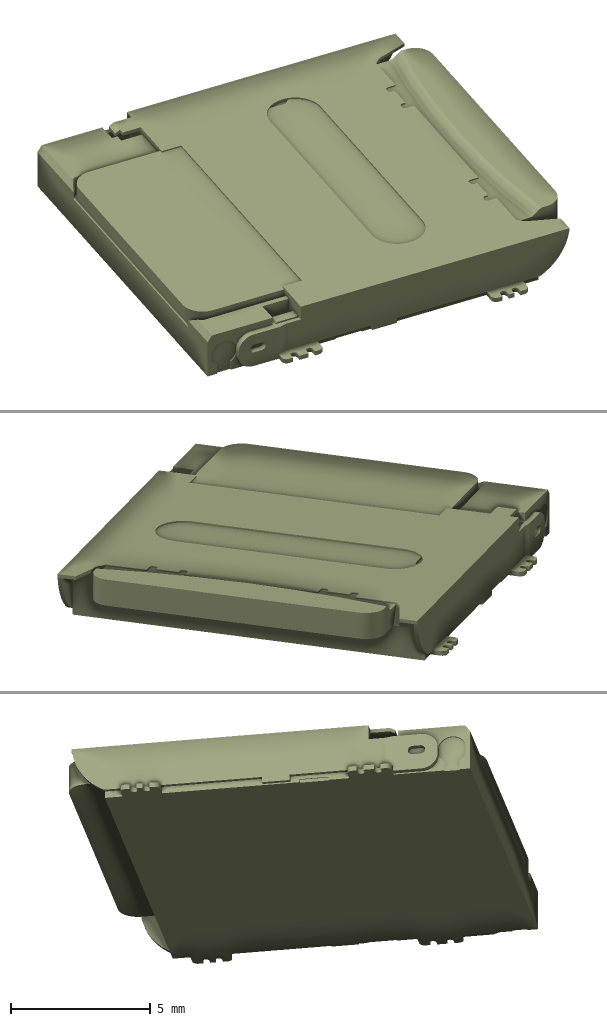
import cadquery as cq
import math


card_length = 15.0
card_right = 5.55
card_left = -5.54
nose_left = -4.23
nose_corner_radius = 0.81
grip_corner_radius = 0.72
card_bottom = 1.2
card_top = 1.92
grip_top = 2.2
nose_chamfer_height = 0.22
nose_chamfer_depth = 0.15
card_front = -card_length / 2
card_back = card_length / 2

notch_back = 1.75
notch_front = 0.75
notch_edge = -4.83
notch_chamfer = 0.2
bump_back = 0.38
shoulder_back = -1.05

grip_radius = 32.1
grip_edge_y = 6.1
grip_round_run = 0.12
grip_round_drop = 0.06
grip_slope_y = 5.78
grip_slope_z = 1.96
grip_foot_y = 5.65

housing_half_width = 6.72
housing_front = card_front
housing_back = 5.85
housing_top = 1.74
front_chamfer_height = 0.24
front_chamfer_depth = 0.18
recess_corner = 0.36
recess_bevel = 0.16

shell_top = 1.98
shell_thickness = 0.14
shell_half_width = 6.87
shell_wall = shell_half_width - housing_half_width
shell_underside = shell_top - shell_thickness
shell_wall_bottom = 0.25
shell_front = -3.81
shell_back = 5.56
finger_back = 7.04
finger_root = 5.76
window_left = -4.11
window_right = 5.43
window_back = -3.03
slot_length = 10.08
slot_width = 2.04
slot_y = 1.53

corner_floor = 1.42
pocket_floor = 0.25
pocket_front = -4.88
pocket_ledge_back = -4.75
arm_half_width = 6.95
arm_back = -4.72
arm_front = -6.36
arm_bottom = 0.05
arm_corner_radius = 0.6
arm_slot_y = -5.58
arm_slot_z = 0.81
arm_slot_length = 0.63
arm_slot_height = 0.33
joggle_back = -4.4
keyhole_y = -6.84
keyhole_z = 0.81
keyhole_radius = 0.52
keyhole_stem_width = 0.55
keyhole_depth = 0.06

foot_half_width = 14.6 / 2
foot_thickness = 0.18
foot_corner_radius = 0.2
foot_slot_width = 0.25
foot_slot_depth = 0.3
feet = [
    (5.2, 3.75, (4.71, 4.25)),
    (-3.09, -4.71, (-3.58, -4.22)),
]


def box(x_min, x_max, y_min, y_max, z_min, z_max):
    """Box between the given limits."""
    return cq.Workplane("XY").box(
        x_max - x_min, y_max - y_min, z_max - z_min, centered=False
    ).translate((x_min, y_min, z_min))


def both_sides(left_part):
    """The part together with its mirror image on the other side."""
    return left_part.union(left_part.mirror("YZ"))


def card_prism(height):
    """Card plan, with the locking notch and nose shoulder in its left edge, raised from the card bottom."""
    shoulder_width = nose_left - card_left
    outline = [
        (card_right, card_front),
        (card_right, card_back),
        (card_left, card_back),
        (card_left, notch_back),
        (notch_edge - notch_chamfer, notch_back),
        (notch_edge, notch_back - notch_chamfer),
        (notch_edge, notch_front),
        (card_left, bump_back),
        (card_left, shoulder_back),
        (nose_left, shoulder_back - shoulder_width),
        (nose_left, card_front),
    ]
    return cq.Workplane("XY").workplane(offset=card_bottom).polyline(outline).close().extrude(height)


def make_card():
    card = card_prism(grip_top - card_bottom)
    card = card.edges("|Z and <Y").fillet(nose_corner_radius)
    card = card.edges("|Z and >Y").fillet(grip_corner_radius)

    axis_y = grip_edge_y + grip_radius
    step = (
        cq.Workplane("YZ")
        .moveTo(grip_edge_y, grip_top)
        .lineTo(grip_edge_y - grip_round_run, grip_top - grip_round_drop)
        .lineTo(grip_slope_y, grip_slope_z)
        .lineTo(grip_foot_y, card_top)
        .lineTo(card_front - card_length, card_top)
        .lineTo(card_front - card_length, grip_top)
        .close()
        .revolve(360, (axis_y, 0, 0), (axis_y, 1, 0))
    )
    card = card.cut(step)

    bevel = (
        cq.Workplane("YZ")
        .moveTo(card_front, card_bottom)
        .lineTo(card_front + nose_chamfer_depth, card_bottom)
        .lineTo(card_front, card_bottom + nose_chamfer_height)
        .close()
        .extrude(card_length, both=True)
    )
    return card.cut(bevel)


def make_housing():
    """Moulded block under and beside the card, with the front edge bevelled."""
    profile = [
        (housing_front, 0),
        (housing_front, housing_top - front_chamfer_height),
        (housing_front + front_chamfer_depth, housing_top),
        (shell_front, housing_top),
        (shell_front, shell_underside),
        (housing_back, shell_underside),
        (housing_back, 0),
    ]
    return cq.Workplane("YZ").polyline(profile).close().extrude(housing_half_width, both=True)


def make_shell_top():
    """Top sheet with a tapered finger at each rear corner and a tab with a bent lip at the left front."""
    finger_inner = 6.18
    finger_root_y = 5.82
    left_edge = [
        (-shell_half_width, shell_front),
        (-shell_half_width, finger_back),
        (-finger_inner, finger_back),
        (-finger_root, finger_root_y),
        (card_left, shell_back),
    ]
    right_edge = [(-x, y) for x, y in reversed(left_edge)]
    sheet = (
        cq.Workplane("XY")
        .workplane(offset=shell_underside)
        .polyline(left_edge + right_edge)
        .close()
        .extrude(shell_thickness)
    )
    tab_left, tab_right, tab_front = -6.51, -5.79, -4.53
    tab = box(tab_left, tab_right, tab_front, shell_front, shell_underside, shell_top)
    lip_right, lip_front, lip_drop = -6.0, -4.72, 0.1
    lip = (
        cq.Workplane("YZ")
        .workplane(offset=tab_left)
        .moveTo(tab_front, shell_top)
        .lineTo(lip_front, shell_top - lip_drop)
        .lineTo(lip_front, shell_underside - lip_drop)
        .lineTo(tab_front, shell_underside)
        .close()
        .extrude(lip_right - tab_left)
    )
    return sheet.union(tab).union(lip)


def shell_openings():
    """Everything that is cut through the top sheet."""
    window = box(window_left, window_right, shell_front, window_back, card_bottom, shell_top)
    slot = (
        cq.Workplane("XY")
        .workplane(offset=shell_underside)
        .center(0, slot_y)
        .slot2D(slot_length, slot_width)
        .extrude(shell_thickness)
    )
    openings = window.union(slot)
    cutout_inner, cutout_outer = 2.54, 3.99
    cutout_front = 5.37
    leg_front = 5.13
    leg_width = 0.3
    leg_radius = 0.12
    for leg_start in (cutout_inner, cutout_outer - leg_width):
        leg = box(leg_start, leg_start + leg_width, leg_front, shell_back, shell_underside, shell_top)
        leg = leg.edges("|Z and <Y").fillet(leg_radius)
        openings = openings.union(both_sides(leg))
    bridge = box(cutout_inner, cutout_outer, cutout_front, shell_back, shell_underside, shell_top)
    return openings.union(both_sides(bridge))


def make_side_wall():
    """Left wall of the shell: swept-up rear end, stepped front end and a short tab at the bottom edge."""
    sweep_middle = (6.66, 0.95)
    wall = (
        cq.Workplane("YZ")
        .workplane(offset=-shell_half_width)
        .moveTo(finger_back, shell_top)
        .threePointArc(sweep_middle, (housing_back, shell_wall_bottom))
        .lineTo(joggle_back, shell_wall_bottom)
        .lineTo(joggle_back, corner_floor)
        .lineTo(shell_front, corner_floor)
        .lineTo(shell_front, shell_top)
        .close()
        .extrude(shell_wall)
    )
    tab_back, tab_front, tab_bottom = 0.08, -0.93, 0.05
    tab = box(-shell_half_width, -housing_half_width, tab_front, tab_back, tab_bottom, shell_wall_bottom)
    return wall.union(tab)


def make_arm():
    """Left arm with a rounded front end and a small slot, joined to the side wall by a joggle."""
    thickness = arm_half_width - housing_half_width
    arm = box(-arm_half_width, -housing_half_width, arm_front, arm_back, arm_bottom, corner_floor)
    arm = arm.edges("|X and <Y").fillet(arm_corner_radius)
    slot = (
        cq.Workplane("YZ")
        .workplane(offset=-arm_half_width)
        .center(arm_slot_y, arm_slot_z)
        .slot2D(arm_slot_length, arm_slot_height)
        .extrude(thickness)
    )
    joggle = (
        cq.Workplane("XY")
        .workplane(offset=shell_wall_bottom)
        .moveTo(-housing_half_width, joggle_back)
        .lineTo(-shell_half_width, joggle_back)
        .lineTo(-arm_half_width, arm_back)
        .lineTo(-housing_half_width, arm_back)
        .close()
        .extrude(corner_floor - shell_wall_bottom)
    )
    return arm.cut(slot).union(joggle)


def make_foot(back, front, slot_positions):
    """Left solder foot with two round-bottomed slots in its outer edge."""
    foot = box(-foot_half_width, -housing_half_width, front, back, 0, foot_thickness)
    foot = foot.edges("|Z and <X").fillet(foot_corner_radius)
    slots = (
        cq.Workplane("XY")
        .pushPoints([(-foot_half_width, y) for y in slot_positions])
        .slot2D(foot_slot_depth * 2, foot_slot_width)
        .extrude(foot_thickness)
    )
    return foot.cut(slots)


def hinge_corners():
    """Stepped pockets in the housing beside the front edge of the shell, the right one with a rail in it."""
    left_inner, left_front = -5.67, -4.65
    left_step_inner = -5.97
    right_inner = 5.91
    pockets = box(-housing_half_width, left_inner, left_front, shell_front, corner_floor, shell_underside)
    for x_min, x_max in ((-housing_half_width, left_step_inner), (right_inner, housing_half_width)):
        ledge = box(x_min, x_max, pocket_front, shell_front, corner_floor, shell_underside)
        deep = box(x_min, x_max, pocket_ledge_back, shell_front, pocket_floor, corner_floor)
        pockets = pockets.union(ledge).union(deep)

    rail_inner, rail_outer = 6.27, 6.63
    rail_slope = 0.1
    rail = (
        cq.Workplane("YZ")
        .workplane(offset=rail_inner)
        .moveTo(shell_front, pocket_floor)
        .lineTo(shell_front, corner_floor)
        .lineTo(pocket_ledge_back + rail_slope, corner_floor)
        .lineTo(pocket_ledge_back, corner_floor - rail_slope)
        .lineTo(pocket_ledge_back, pocket_floor)
        .close()
        .extrude(rail_outer - rail_inner)
    )
    return pockets.cut(rail)


def edge_relief():
    """Shallow relief in the bottom edge of the left housing face."""
    relief_back, relief_front = -1.28, -2.32
    relief_height, relief_depth = 0.12, 0.05
    inner = relief_depth - housing_half_width
    return box(-housing_half_width, inner, relief_front, relief_back, 0, relief_height)


def keyhole_recess():
    """Shallow keyhole-shaped recess in the left face of the housing."""
    face = cq.Workplane("YZ").workplane(offset=-housing_half_width)
    head = face.center(keyhole_y, keyhole_z).circle(keyhole_radius).extrude(keyhole_depth)
    stem = (
        face.center(keyhole_y, keyhole_z / 2)
        .rect(keyhole_stem_width, keyhole_z)
        .extrude(keyhole_depth)
    )
    return head.union(stem)


def card_cavity():
    """Room for the card, with the front corners cut at an angle just clear of the card's rounds."""
    return card_prism(card_top - card_bottom).edges("|Z and <Y").chamfer(recess_corner)


def recess_edge():
    """Outward-sloping edge along the top of the cavity in front of the shell."""
    slope = math.degrees(math.atan(recess_bevel / front_chamfer_height))
    flare = (
        cq.Workplane("XY")
        .workplane(offset=housing_top - front_chamfer_height)
        .moveTo(nose_left, shell_front)
        .lineTo(nose_left, card_front + recess_corner)
        .lineTo(nose_left + recess_corner, card_front)
        .lineTo(card_right - recess_corner, card_front)
        .lineTo(card_right, card_front + recess_corner)
        .lineTo(card_right, shell_front)
        .close()
        .extrude(front_chamfer_height, taper=-slope)
    )
    behind_edge = box(
        -housing_half_width, housing_half_width, shell_front, housing_back, 0, housing_top
    )
    return flare.cut(behind_edge)


def entry_bevel():
    """Sloping lead-in above the rear edge of the housing, between the shell fingers."""
    return (
        cq.Workplane("YZ")
        .moveTo(housing_back, shell_underside)
        .lineTo(shell_back, shell_underside)
        .lineTo(housing_back, card_bottom)
        .close()
        .extrude(finger_root, both=True)
    )


def make_connector():
    connector = make_housing().cut(hinge_corners())
    connector = connector.cut(both_sides(keyhole_recess())).cut(both_sides(edge_relief()))
    connector = connector.cut(entry_bevel()).cut(recess_edge())
    connector = connector.union(make_shell_top())
    connector = connector.union(both_sides(make_side_wall()))
    connector = connector.union(both_sides(make_arm()))
    for back, front, slot_positions in feet:
        connector = connector.union(both_sides(make_foot(back, front, slot_positions)))
    return connector.cut(card_cavity()).cut(shell_openings())


card = make_card()
connector = make_connector()

result = cq.Compound.makeCompound([card.val(), connector.val()])